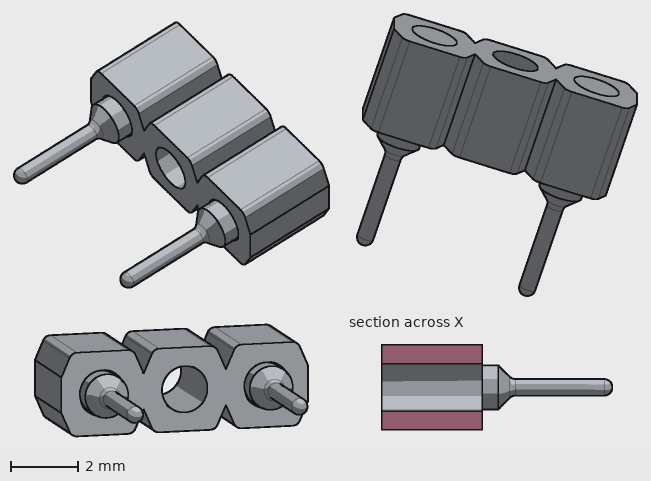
import cadquery as cq
import math


cell_count = 3
total_length = 7.62
pitch = total_length / cell_count
housing_depth = 3.0
housing_height = pitch
side_flat_height = 1.08
bevel_width = 0.32
corner_radius = 0.25
bore_diameter = 1.4
cell_centers = [(index - (cell_count - 1) / 2) * pitch for index in range(cell_count)]

pin_cells = [cell_centers[0], cell_centers[-1]]
overall_depth = 6.88
pin_projection = overall_depth - housing_depth
collar_radius = 0.66
collar_length = 0.47
collar_recess = 0.15
shank_radius = 0.25
neck_radius = 0.25
cone_half_angle = math.radians(45)


def front_plane(center_x):
    """Housing front face plane centred at center_x; negative extrusions run toward +Y."""
    return cq.Workplane("XZ", origin=(center_x, 0, 0))


def housing_cell(center_x):
    """One bevelled block of the strip, with its long top and bottom corners rounded."""
    half_pitch = pitch / 2
    half_height = housing_height / 2
    half_flat = side_flat_height / 2
    half_top = half_pitch - bevel_width
    outline = [
        (-half_pitch, -half_flat),
        (-half_top, -half_height),
        (half_top, -half_height),
        (half_pitch, -half_flat),
        (half_pitch, half_flat),
        (half_top, half_height),
        (-half_top, half_height),
        (-half_pitch, half_flat),
    ]
    block = front_plane(center_x).polyline(outline).close().extrude(-housing_depth)
    return block.edges("|Y and (>Z or <Z)").fillet(corner_radius)


def make_housing():
    """The cells joined side by side, each with a round bore right through it."""
    strip = housing_cell(cell_centers[0])
    for center_x in cell_centers[1:]:
        strip = strip.union(housing_cell(center_x))
    bores = (
        front_plane(0)
        .pushPoints([(center_x, 0) for center_x in cell_centers])
        .circle(bore_diameter / 2)
        .extrude(-housing_depth)
    )
    return strip.cut(bores)


def make_pin(center_x):
    """A turned pin: sleeve filling the bore, narrower collar, cone, blended neck, round-ended shank."""
    sleeve_radius = bore_diameter / 2
    cone_start = -collar_length
    cone_length = (collar_radius - shank_radius) / math.tan(cone_half_angle)
    cone_end = cone_start - cone_length

    neck_tangent = neck_radius * math.tan(cone_half_angle / 2)
    neck_center_x = shank_radius + neck_radius
    neck_end = cone_end - neck_tangent
    neck_start = (
        shank_radius + neck_tangent * math.sin(cone_half_angle),
        cone_end + neck_tangent * math.cos(cone_half_angle),
    )
    neck_middle = (
        neck_center_x - neck_radius * math.cos(cone_half_angle / 2),
        neck_end + neck_radius * math.sin(cone_half_angle / 2),
    )

    tip_center = shank_radius - pin_projection
    tip_middle_offset = shank_radius / math.sqrt(2)
    tip_middle = (tip_middle_offset, tip_center - tip_middle_offset)

    profile = (
        cq.Workplane("XY")
        .moveTo(0, housing_depth)
        .lineTo(sleeve_radius, housing_depth)
        .lineTo(sleeve_radius, collar_recess)
        .lineTo(collar_radius, collar_recess)
        .lineTo(collar_radius, cone_start)
        .lineTo(*neck_start)
        .threePointArc(neck_middle, (shank_radius, neck_end))
        .lineTo(shank_radius, tip_center)
        .threePointArc(tip_middle, (0, -pin_projection))
        .close()
    )
    pin = profile.revolve(360, (0, 0, 0), (0, 1, 0))
    return pin.translate((center_x, 0, 0))


housing = make_housing()
pins = [make_pin(center_x) for center_x in pin_cells]
result = cq.Compound.makeCompound([housing.val(), *[pin.val() for pin in pins]])